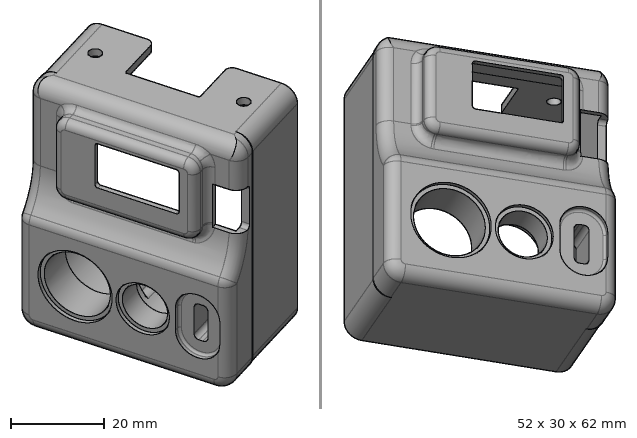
import math

import cadquery as cq


WIDTH = 52.0
DEPTH = 30.0
HEIGHT = 62.0
WALL = 2.0
FRONT_WALL = 1.25
OVERSHOOT = 0.6
MARGIN = 0.05
CORNER_RADIUS = 3.95
EDGE_RADIUS = 3.0
BROW_RADIUS = CORNER_RADIUS
FRONT_PART_DEPTH = 10.0
REAR_INSET = 0.2
MIDDLE_X = WIDTH / 2

SETBACK = 4.95
SWEEP_RADIUS = 15.0
SWEEP_TOP = 40.2
SWEEP_BOTTOM = SWEEP_TOP - math.sqrt(SWEEP_RADIUS**2 - (SWEEP_RADIUS - SETBACK) ** 2)

FRAME_LEFT = 8.8
FRAME_RIGHT = 43.65
FRAME_BOTTOM = 36.9
FRAME_TOP = 57.9
FRAME_CORNER_RADIUS = 3.0
FRAME_EDGE_RADIUS = 2.0
FRAME_FOOT_RADIUS = 1.9

WINDOW_LEFT = 19.05
WINDOW_RIGHT = 39.55
WINDOW_BOTTOM = 43.45
WINDOW_TOP = 55.1
WINDOW_RADIUS = 0.75

OPENING_LEFT = 45.0
OPENING_BOTTOM = 38.95
OPENING_TOP = 50.3
OPENING_DEPTH = 8.55
OPENING_RADIUS = 1.0

SOCKET_Z = 15.45
COLLAR_DEPTH = 10.3
SOCKETS = [
    (14.2, 8.05, 9.05, 11.0, COLLAR_DEPTH),
    (30.7, 5.5, 6.5, 7.0, 7.25),
]
SEAT_DEPTH = 1.0

SLOT_X = 44.1
SLOT_Z = 15.55
SLOT_WIDTH = 3.35
SLOT_LENGTH = 9.4
SLOT_RADIUS = 1.2
RECESS_WIDTH = 10.8
RECESS_LENGTH = 16.6
RECESS_DEPTH = 1.5
RECESS_FLOOR_RADIUS = 0.6
SLOT_POCKET_LEFT = 37.6
SLOT_POCKET_BOTTOM = 6.25

COLLAR_TOP = 28.5
CREST_RADIUS = 2.0

NOTCH_WIDTH = 18.15
NOTCH_FRONT = 17.1
NOTCH_RADIUS = 0.5
NOTCH_MOUTH_RADIUS = 1.75
SCREW_DIAMETER = 3.1
SCREW_SPACING = 36.2
SCREW_Y = 20.2


def block(x0, x1, y0, y1, z0, z1):
    """Box between two opposite corners."""
    return cq.Workplane("XY").box(x1 - x0, y1 - y0, z1 - z0, centered=False).translate((x0, y0, z0))


def rod(x, z, radius, y0, y1):
    """Cylinder along Y."""
    return cq.Workplane("XZ", origin=(x, y0, z)).circle(radius).extrude(y0 - y1)


def edges_near(solid, x0, x1, y0, y1, z0, z1):
    """Edges whose middle lies in the given box."""
    return solid.edges(cq.selectors.BoxSelector((x0, y0, z0), (x1, y1, z1)))


def front_part():
    """Rounded front half of the body, with the sweep across its face."""
    part = (
        cq.Workplane("YZ")
        .lineTo(0, SWEEP_BOTTOM)
        .radiusArc((SETBACK, SWEEP_TOP), -SWEEP_RADIUS)
        .lineTo(SETBACK, HEIGHT)
        .lineTo(FRONT_PART_DEPTH, HEIGHT)
        .lineTo(FRONT_PART_DEPTH, 0)
        .close()
        .extrude(WIDTH)
    )
    lip = (0, WIDTH, -MARGIN, MARGIN, SWEEP_BOTTOM - MARGIN, SWEEP_BOTTOM + MARGIN)
    part = edges_near(part, *lip).fillet(EDGE_RADIUS)
    part = part.edges("|Y").fillet(CORNER_RADIUS)
    bottom_edge = (0, WIDTH, -MARGIN, MARGIN, -MARGIN, MARGIN)
    part = edges_near(part, *bottom_edge).fillet(EDGE_RADIUS)
    return part.cut(brow_waste())


def brow_waste():
    """Sliver outside the larger rounding of the top front edge."""
    corner = block(0, WIDTH, SETBACK, SETBACK + BROW_RADIUS, HEIGHT - BROW_RADIUS, HEIGHT)
    rounding = (
        cq.Workplane("YZ", origin=(0, SETBACK + BROW_RADIUS, HEIGHT - BROW_RADIUS))
        .circle(BROW_RADIUS)
        .extrude(WIDTH)
    )
    return corner.cut(rounding)


def rear_part():
    """Straight rear half of the body, a touch narrower than the front."""
    part = block(REAR_INSET, WIDTH - REAR_INSET, FRONT_PART_DEPTH, DEPTH, 0, HEIGHT)
    return part.edges("|Y").fillet(CORNER_RADIUS)


def add_frame(body):
    """Raised screen frame with a rounded edge and a concave foot."""
    frame = block(FRAME_LEFT, FRAME_RIGHT, 0, FRONT_PART_DEPTH, FRAME_BOTTOM, FRAME_TOP)
    frame = frame.edges("|Y").fillet(FRAME_CORNER_RADIUS)
    frame = frame.faces("<Y").edges().fillet(FRAME_EDGE_RADIUS)
    body = body.union(frame)
    foot = (
        FRAME_LEFT - MARGIN, FRAME_RIGHT + MARGIN,
        2 * FRAME_EDGE_RADIUS, SETBACK + OVERSHOOT,
        FRAME_BOTTOM - MARGIN, FRAME_TOP + MARGIN,
    )
    return edges_near(body, *foot).edges("not |Y").fillet(FRAME_FOOT_RADIUS)


def cavity():
    """Hollow of the housing, open at the back."""
    inner_left = WALL
    inner_right = WIDTH - WALL
    inner_top = HEIGHT - WALL
    upper_front = SETBACK + FRONT_WALL
    end = DEPTH + OVERSHOOT
    upper = block(inner_left, inner_right, upper_front, end, COLLAR_TOP, inner_top)
    lower = block(inner_left, inner_right, COLLAR_DEPTH, end, SOCKET_Z, COLLAR_TOP)
    frame_hollow = block(
        FRAME_LEFT + WALL, FRAME_RIGHT - WALL, FRONT_WALL, end, FRAME_BOTTOM + WALL, FRAME_TOP - WALL
    )
    troughs = block(SLOT_POCKET_LEFT, inner_right, COLLAR_DEPTH, end, SLOT_POCKET_BOTTOM, SOCKET_Z)
    for x, _, _, pocket_radius, collar_depth in SOCKETS:
        troughs = troughs.union(rod(x, SOCKET_Z, pocket_radius, collar_depth, end))
    ridges = (
        SOCKETS[0][0], SLOT_X,
        COLLAR_DEPTH + MARGIN, end - MARGIN,
        SLOT_POCKET_BOTTOM + MARGIN, SOCKET_Z - MARGIN,
    )
    troughs = edges_near(troughs, *ridges).edges("|Y").fillet(CREST_RADIUS)
    return upper.union(lower).union(frame_hollow).union(troughs)


def socket_cuts():
    """Stepped round holes through the lower front."""
    cuts = cq.Workplane()
    for x, bore_radius, seat_radius, _, _ in SOCKETS:
        cuts = cuts.union(rod(x, SOCKET_Z, bore_radius, -OVERSHOOT, DEPTH / 2))
        cuts = cuts.union(rod(x, SOCKET_Z, seat_radius, -OVERSHOOT, SEAT_DEPTH))
    return cuts


def slot_cut():
    """Connector slot and the recess with a rounded floor around it."""
    plane = cq.Workplane("XZ", origin=(SLOT_X, 0, SLOT_Z))
    recess = plane.slot2D(RECESS_LENGTH, RECESS_WIDTH, 90).extrude(-RECESS_DEPTH)
    recess = recess.faces(">Y").edges().fillet(RECESS_FLOOR_RADIUS)
    slot = plane.rect(SLOT_WIDTH, SLOT_LENGTH).extrude(-DEPTH / 2).edges("|Y").fillet(SLOT_RADIUS)
    return recess.union(slot)


def window_cut():
    """Screen window with rounded corners."""
    cut = block(WINDOW_LEFT, WINDOW_RIGHT, -OVERSHOOT, SETBACK, WINDOW_BOTTOM, WINDOW_TOP)
    return cut.edges("|Y").fillet(WINDOW_RADIUS)


def side_opening():
    """Opening that wraps around the right front edge."""
    cut = block(OPENING_LEFT, WIDTH + OVERSHOOT, -OVERSHOOT, OPENING_DEPTH, OPENING_BOTTOM, OPENING_TOP)
    return cut.faces(">Y").edges("|X").fillet(OPENING_RADIUS)


def cut_notch(body):
    """Open-ended notch in the back edge of the top plate, with rounded corners."""
    plate_bottom = HEIGHT - WALL
    left = MIDDLE_X - NOTCH_WIDTH / 2
    right = left + NOTCH_WIDTH
    cut = block(left, right, NOTCH_FRONT, DEPTH, plate_bottom - OVERSHOOT, HEIGHT + OVERSHOOT)
    body = body.cut(cut.edges("|Z and <Y").fillet(NOTCH_RADIUS))
    mouth = (
        left - MARGIN, right + MARGIN,
        DEPTH - MARGIN, DEPTH + MARGIN,
        plate_bottom, HEIGHT,
    )
    return edges_near(body, *mouth).edges("|Z").fillet(NOTCH_MOUTH_RADIUS)


def screw_holes():
    """Pair of screw holes through the top plate."""
    return (
        cq.Workplane("XY", origin=(MIDDLE_X, SCREW_Y, HEIGHT - WALL - OVERSHOOT))
        .pushPoints([(-SCREW_SPACING / 2, 0), (SCREW_SPACING / 2, 0)])
        .circle(SCREW_DIAMETER / 2)
        .extrude(WALL + 2 * OVERSHOOT)
    )


body = add_frame(front_part()).union(rear_part())
for cut in (cavity(), socket_cuts(), slot_cut(), window_cut(), side_opening(), screw_holes()):
    body = body.cut(cut)
result = cut_notch(body)